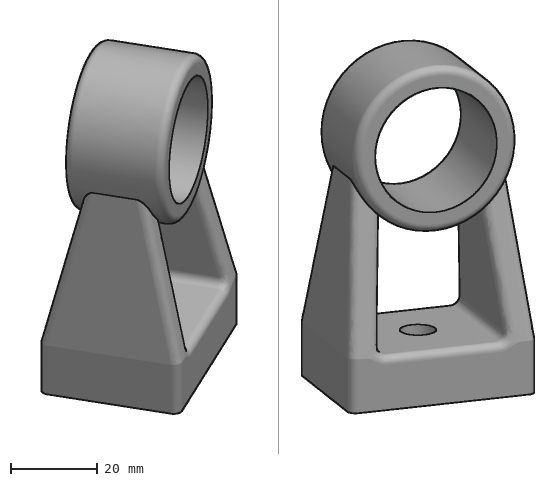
import cadquery as cq

base_x = 34.0
base_y = 46.0
base_height = 13.0
total_height = 80.0
ring_diameter = 40.0
bore_diameter = 30.0
ring_length = 24.0
leg_top_x = 11.2
leg_top_y = 36.2
leg_thickness = 7.0
edge_radius = 2.0
base_hole_diameter = 8.4

ring_axis_z = total_height - ring_diameter / 2
leg_rise = ring_axis_z - base_height


def make_frame_block():
    """Rectangular base continued by a pyramid frustum up to the ring axis."""
    base = cq.Workplane("XY").box(base_x, base_y, base_height, centered=(True, True, False))
    frustum = (
        cq.Workplane("XY", origin=(0, 0, base_height))
        .rect(base_x, base_y)
        .workplane(offset=leg_rise)
        .rect(leg_top_x, leg_top_y)
        .loft(combine=True)
    )
    block = base.union(frustum)
    corner_edges = block.edges("not(#Z or |X or |Y)")
    return corner_edges.fillet(edge_radius)


def make_window():
    """Trapezoidal window through the frame along X, leaving two parallel-sided legs."""
    bottom_y = base_y / 2 - leg_thickness
    top_y = leg_top_y / 2 - leg_thickness
    outline = [
        (-bottom_y, base_height),
        (bottom_y, base_height),
        (top_y, ring_axis_z),
        (-top_y, ring_axis_z),
    ]
    return cq.Workplane("YZ").polyline(outline).close().extrude(base_x / 2, both=True)


def make_frame():
    """Base and two legs, with the lower corners and the side rims of the window rounded."""
    frame = make_frame_block().cut(make_window())
    zone_y = base_y / 2 - leg_thickness + edge_radius / 2
    window_zone = cq.selectors.BoxSelector(
        (-base_x, -zone_y, base_height - edge_radius),
        (base_x, zone_y, ring_axis_z - edge_radius),
    )
    return frame.edges(window_zone).fillet(edge_radius)


def make_ring():
    """Solid ring blank along X with rounded outer rims."""
    return (
        cq.Workplane("YZ", origin=(-ring_length / 2, 0, ring_axis_z))
        .circle(ring_diameter / 2)
        .extrude(ring_length)
        .edges("%CIRCLE")
        .fillet(edge_radius)
    )


def make_bore():
    """Cutter for the ring bore, which also trims the legs inside it."""
    return (
        cq.Workplane("YZ", origin=(0, 0, ring_axis_z))
        .circle(bore_diameter / 2)
        .extrude(base_x / 2, both=True)
    )


def make_base_hole():
    """Cutter for the vertical hole through the middle of the base."""
    return cq.Workplane("XY").circle(base_hole_diameter / 2).extrude(base_height)


result = make_frame().union(make_ring()).cut(make_bore()).cut(make_base_hole())